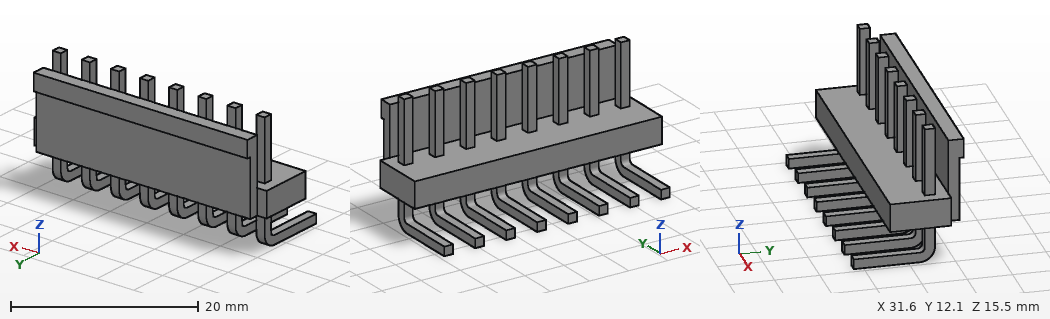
import cadquery as cq


base_length = 31.62
base_depth = 6.77
base_height = 3.23

wall_end_inset = 1.25
wall_thickness = 1.23
wall_rise = 6.2
lip_overhang = 0.47
lip_height = 2.18

pin_count = 8
pin_end_margin = 1.95
pin_size = 1.15
pin_setback = 2.0
pin_rise = 1.52
pin_drop = 4.52
tail_reach = 3.65
bend_inner_radius = pin_size / 2

wall_length = base_length - 2 * wall_end_inset
wall_top = base_height + wall_rise
pin_top = wall_top + pin_rise
pin_pitch = (base_length - 2 * pin_end_margin) / (pin_count - 1)
tail_end = -base_depth - tail_reach
bend_outer_radius = bend_inner_radius + pin_size


def make_base():
    bar = cq.Workplane("XY").box(base_length, base_depth, base_height, centered=(True, False, False))
    return bar.translate((0, -base_depth, 0))


def extrude_along_row(profile, length):
    """Extrude a closed YZ profile along X, centred on X = 0."""
    return profile.extrude(length / 2, both=True)


def make_latch_wall():
    lip_rear = wall_thickness + lip_overhang
    lip_bottom = wall_top - lip_height
    profile = (
        cq.Workplane("YZ")
        .moveTo(0, 0)
        .lineTo(wall_thickness, 0)
        .lineTo(wall_thickness, lip_bottom)
        .lineTo(lip_rear, lip_bottom)
        .lineTo(lip_rear, wall_top)
        .lineTo(0, wall_top)
        .close()
    )
    return extrude_along_row(profile, wall_length)


def make_pin():
    """One pin centred on X = 0: a vertical post bent forward into a horizontal tail."""
    rear = -pin_setback + pin_size / 2
    front = rear - pin_size
    bottom = -pin_drop
    tail_top = bottom + pin_size
    bend_y = front - bend_inner_radius
    bend_z = tail_top + bend_inner_radius
    profile = (
        cq.Workplane("YZ")
        .moveTo(rear, pin_top)
        .lineTo(rear, bend_z)
        .radiusArc((bend_y, bottom), bend_outer_radius)
        .lineTo(tail_end, bottom)
        .lineTo(tail_end, tail_top)
        .lineTo(bend_y, tail_top)
        .radiusArc((front, bend_z), -bend_inner_radius)
        .lineTo(front, pin_top)
        .close()
    )
    return extrude_along_row(profile, pin_size)


result = make_base().union(make_latch_wall())
pin = make_pin()
first_pin_x = -base_length / 2 + pin_end_margin
for index in range(pin_count):
    result = result.union(pin.translate((first_pin_x + index * pin_pitch, 0, 0)))